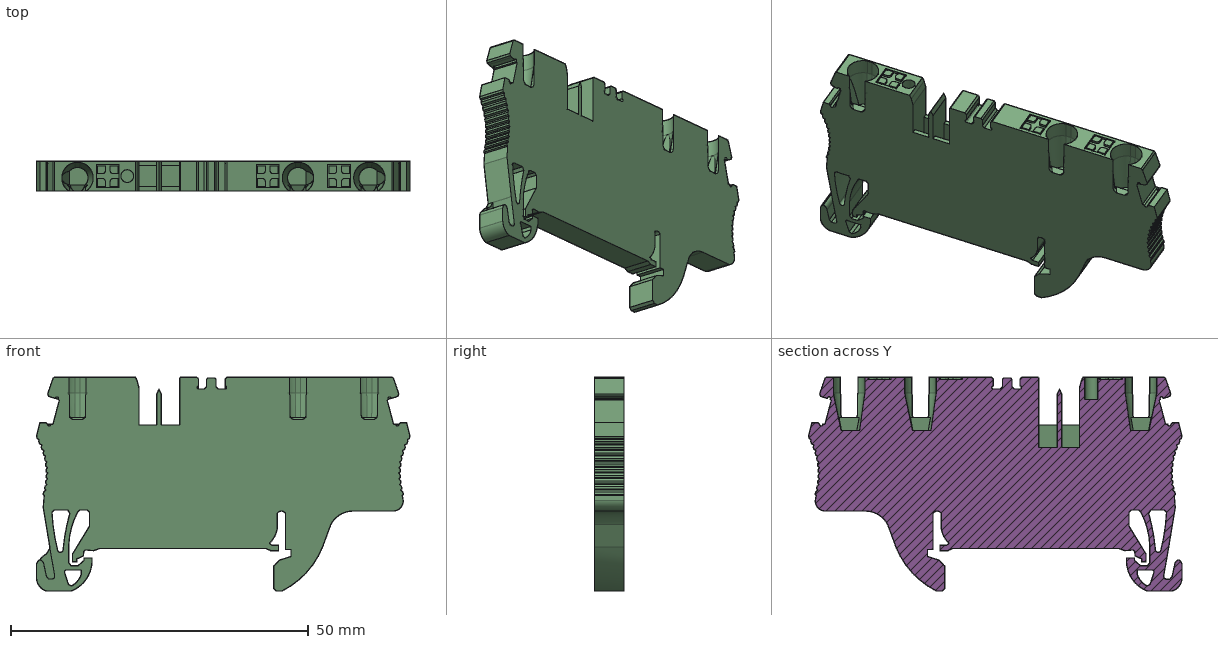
import cadquery as cq
import math

LENGTH = 62.8
THICKNESS = 5.0
HEIGHT = 36.0

SHOULDER_Z = 13.45
RAIL_Z = 7.15
CAVITY_TOP_Z = 13.65
BACK_WEB = 1.0

END_TOP_X = 2.75
END_TOP_CHAMFER = 0.25
LEG_BEND_X = 1.1
LEG_BEND_Z = 14.1
LEG_FOOT_X = 2.25
LEG_FOOT_Z = 7.2
RIGHT_CORNER_X = LENGTH - LEG_BEND_X
GRIP_DEEPEST_X = 1.9
GRIP_RADIUS = 11.95
GRIP_CENTRE_Z = 19.8
GRIP_TOP_Z = 25.5
TOOTH_PITCH = 0.95
TOOTH_COUNT = 10
TOOTH_DEPTH = 0.25
TOOTH_CREST_TOP = 0.4 * TOOTH_PITCH
TOOTH_CREST_BOTTOM = 0.8 * TOOTH_PITCH
END_CORNER_RADIUS = 1.75

LEG_SLOPE = (LEG_FOOT_X - LEG_BEND_X) / (LEG_BEND_Z - LEG_FOOT_Z)
LEG_TOP = (LEG_BEND_X + LEG_SLOPE * (LEG_BEND_Z - SHOULDER_Z), SHOULDER_Z)

RELIEF_RADIUS = 0.25
RELIEF_WEB = 0.4
RELIEF_DEPTH = THICKNESS - RELIEF_WEB
END_RELIEFS = [(3.45, 32.4), (2.15, 28.0)]

SHAFT_LEFT_X = 17.3
SHAFT_RIGHT_X = 24.05
SHAFT_FLOOR_Z = 27.95
SHAFT_LEAD_IN_Z = 34.1
SHAFT_LEAD_IN = 0.3
SHAFT_RIGHT_CHAMFER = 0.2
BLADE_X = 20.6
BLADE_WIDTH = 0.8
BLADE_TIP_Z = 34.0
BLADE_SHOULDER_Z = 33.1
SHAFT_POCKET_FRONT = 0.75
SHAFT_POCKET_BACK = 4.3
SHAFT_POCKET_DEPTH = 3.8

NOTCH_LEFT_X = 27.25
NOTCH_RIGHT_X = 31.7
NOTCH_FLOOR_Z = 34.0
NOTCH_EDGE = 0.3
POST_WIDTH = 1.65
POST_X = 29.4
POST_TOP_Z = 35.9
POST_CHAMFER = 0.25
POST_FLARE = 0.4

CLAMPS = [(6.9, 1), (44.0, -1), (56.0, -1)]
RELEASE_RADIUS = 2.65
RELEASE_Y = 2.2
RELEASE_STRAIGHT_Z = 33.3
RELEASE_FLOOR_Z = 27.0
RELEASE_FLOOR_RADIUS = 1.75
RELEASE_BACK_FLAT = 0.04
FLAT_FLOOR_OFFSET = 1.3
FRONT_WALL = 1.0
WINDOW_WIDTH = 2.75
WINDOW_FLOOR_Z = 28.85
WINDOW_CORNER = 0.9
WINDOW_SILL_RISE = 0.4
ENTRY_OFFSET = 5.1
ENTRY_SIZE = 3.85
ENTRY_DEPTH = 0.4
PAD_SIZE = 1.3
PAD_GAP = 0.2
PAD_CORNER = 0.5

TEST_X = 15.25
TEST_DIAMETER = 2.15
TEST_DEPTH = 3.8


def front_sketch():
    """Empty XZ sketch on the front face."""
    return cq.Workplane("XZ")


def plate(sketch, depth=THICKNESS):
    """Extrude a sketch from the front face toward the back."""
    return sketch.extrude(-depth)


def box(x0, x1, y0, y1, z0, z1):
    return cq.Workplane("XY", origin=(x0, y0, z0)).box(x1 - x0, y1 - y0, z1 - z0, centered=False)


def grip_point(z, lift):
    """Point of the concave finger grip; lift moves it outward."""
    sag = GRIP_RADIUS - math.sqrt(GRIP_RADIUS**2 - (z - GRIP_CENTRE_Z) ** 2)
    return (GRIP_DEEPEST_X - sag - lift, z)


def end_points():
    """Left end of the housing from the top edge down to the last grip groove."""
    points = [
        (END_TOP_X + END_TOP_CHAMFER, HEIGHT),
        (END_TOP_X, HEIGHT - END_TOP_CHAMFER),
        (1.9, 33.2),
        (2.0, 32.8),
        (2.4, 32.6),
        (3.6, 32.3),
        (3.85, 32.1),
        (END_TOP_X, 28.1),
        (1.8, 28.1),
        (1.65, 28.35),
        (0.55, 28.35),
        (0.0, 26.0),
        (0.1, 25.6),
    ]
    for tooth in range(TOOTH_COUNT):
        groove_z = GRIP_TOP_Z - tooth * TOOTH_PITCH
        points.append(grip_point(groove_z, 0))
        points.append(grip_point(groove_z - TOOTH_CREST_TOP, TOOTH_DEPTH))
        points.append(grip_point(groove_z - TOOTH_CREST_BOTTOM, TOOTH_DEPTH))
    points.append(grip_point(GRIP_TOP_Z - TOOTH_COUNT * TOOTH_PITCH, 0))
    return points


def upper_body():
    left = end_points()
    right = [(LENGTH - x, z) for x, z in left]
    diagonal = END_CORNER_RADIUS * (1 - math.sqrt(0.5))
    outline = (
        front_sketch()
        .polyline([LEG_TOP, (LEG_BEND_X, LEG_BEND_Z)] + left[::-1] + right)
        .lineTo(RIGHT_CORNER_X, SHOULDER_Z + END_CORNER_RADIUS)
        .threePointArc(
            (RIGHT_CORNER_X - diagonal, SHOULDER_Z + diagonal),
            (RIGHT_CORNER_X - END_CORNER_RADIUS, SHOULDER_Z),
        )
        .close()
    )
    return plate(outline)


def lower_body():
    """Spring leg and foot on the left, rail seat, fixed hook on the right."""
    outline = (
        front_sketch()
        .moveTo(*LEG_TOP)
        .lineTo(LEG_FOOT_X, LEG_FOOT_Z)
        .lineTo(1.7, 6.3)
        .threePointArc((1.0, 5.8), (0.55, 5.3))
        .threePointArc((0.2, 4.95), (0, 4.45))
        .lineTo(0, 2.1)
        .threePointArc((0.5, 0.8), (1.7, 0))
        .lineTo(5.85, 0)
        .threePointArc((8.1, 1.65), (9.35, 5.6))
        .lineTo(8.2, 5.6)
        .lineTo(8.2, 6.9)
        .lineTo(9.6, 6.8)
        .lineTo(10.7, RAIL_Z)
        .lineTo(38.6, RAIL_Z)
        .lineTo(39.4, 6.8)
        .lineTo(40.7, 6.8)
        .lineTo(40.7, 7.0)
        .lineTo(42.8, 7.0)
        .lineTo(42.8, 5.85)
        .lineTo(40.85, 5.2)
        .lineTo(39.9, 4.2)
        .lineTo(39.9, 0.45)
        .lineTo(40.3, 0)
        .lineTo(41.3, 0)
        .threePointArc((45.55, 3.25), (48.1, 7.4))
        .lineTo(49.5, 11.2)
        .threePointArc((51.0, 12.8), (53.2, SHOULDER_Z))
        .close()
    )
    return plate(outline)


def spring_slot():
    """Opening between the spring leg and the rail seat."""
    outline = (
        front_sketch()
        .moveTo(5.45, 4.8)
        .lineTo(5.45, 7.85)
        .threePointArc((5.95, 10.85), (7.0, 13.3))
        .lineTo(7.3, CAVITY_TOP_Z)
        .lineTo(8.55, CAVITY_TOP_Z)
        .lineTo(8.9, 13.25)
        .lineTo(8.9, 10.9)
        .lineTo(6.0, 6.2)
        .lineTo(6.0, 4.9)
        .lineTo(6.8, 4.9)
        .lineTo(6.8, 5.4)
        .lineTo(7.9, 5.9)
        .lineTo(8.0, 6.65)
        .lineTo(8.2, 6.9)
        .lineTo(8.2, 5.6)
        .lineTo(8.0, 5.6)
        .lineTo(8.0, 5.15)
        .lineTo(7.0, 4.3)
        .lineTo(5.85, 4.3)
        .close()
    )
    return plate(outline)


def leg_opening():
    """Tapered opening inside the spring leg."""
    outline = (
        front_sketch()
        .moveTo(3.0, CAVITY_TOP_Z)
        .lineTo(5.3, CAVITY_TOP_Z)
        .lineTo(5.6, 13.05)
        .threePointArc((4.9, 10.1), (4.45, 6.9))
        .threePointArc((4.0, 6.55), (3.6, 6.9))
        .threePointArc((2.95, 10.05), (2.65, 13.25))
        .close()
    )
    return plate(outline)


def foot_opening():
    """Triangular opening in the left foot."""
    outline = (
        front_sketch()
        .moveTo(4.9, 3.5)
        .lineTo(7.55, 3.5)
        .lineTo(7.55, 2.9)
        .threePointArc((6.85, 1.65), (5.9, 0.9))
        .lineTo(5.4, 1.1)
        .lineTo(4.7, 3.25)
        .close()
    )
    return plate(outline)


def foot_notch():
    """Release notch between the left foot and its leg, closed at the back."""
    outline = (
        front_sketch()
        .moveTo(LEG_FOOT_X, LEG_FOOT_Z)
        .lineTo(3.1, 2.6)
        .threePointArc((2.9, 2.15), (2.5, 2.0))
        .lineTo(2.1, 2.0)
        .lineTo(1.7, 2.45)
        .lineTo(1.25, 4.45)
        .threePointArc((1.0, 5.0), (0.55, 5.3))
        .lineTo(0.55, LEG_FOOT_Z)
        .close()
    )
    return plate(outline, THICKNESS - BACK_WEB)


def hook_slot():
    """Slot between the rail seat and the fixed hook, with a barbed side."""
    outline = (
        front_sketch()
        .moveTo(41.85, 6.9)
        .lineTo(41.85, 13.05)
        .threePointArc((41.15, SHOULDER_Z), (40.5, 13.05))
        .lineTo(40.5, 10.6)
        .threePointArc((40.1, 9.25), (39.2, 8.05))
        .lineTo(39.6, 7.7)
        .lineTo(40.7, 7.7)
        .lineTo(40.7, 6.9)
        .close()
    )
    return plate(outline)


def corner_reliefs():
    right = [(LENGTH - x, z) for x, z in END_RELIEFS]
    notch_z = NOTCH_FLOOR_Z + RELIEF_RADIUS
    notch = [(NOTCH_LEFT_X, notch_z), (NOTCH_RIGHT_X, notch_z)]
    centres = END_RELIEFS + right + notch
    return plate(front_sketch().pushPoints(centres).circle(RELIEF_RADIUS), RELIEF_DEPTH)


def bridge_shaft():
    shaft = plate(
        front_sketch().polyline([
            (SHAFT_LEFT_X, SHAFT_FLOOR_Z),
            (SHAFT_LEFT_X, SHAFT_LEAD_IN_Z),
            (SHAFT_LEFT_X - SHAFT_LEAD_IN, HEIGHT - 2 * SHAFT_LEAD_IN),
            (SHAFT_LEFT_X - 2 * SHAFT_LEAD_IN, HEIGHT),
            (SHAFT_RIGHT_X + SHAFT_RIGHT_CHAMFER, HEIGHT),
            (SHAFT_RIGHT_X, HEIGHT - SHAFT_RIGHT_CHAMFER),
            (SHAFT_RIGHT_X, SHAFT_FLOOR_Z),
        ]).close()
    )
    pocket = box(
        SHAFT_LEFT_X, SHAFT_RIGHT_X,
        SHAFT_POCKET_FRONT, SHAFT_POCKET_BACK,
        SHAFT_FLOOR_Z - SHAFT_POCKET_DEPTH, SHAFT_FLOOR_Z,
    )
    half = BLADE_WIDTH / 2
    blade = plate(
        front_sketch().polyline([
            (BLADE_X - half, SHAFT_FLOOR_Z - SHAFT_POCKET_DEPTH),
            (BLADE_X - half, BLADE_SHOULDER_Z),
            (BLADE_X, BLADE_TIP_Z),
            (BLADE_X + half, BLADE_SHOULDER_Z),
            (BLADE_X + half, SHAFT_FLOOR_Z - SHAFT_POCKET_DEPTH),
        ]).close()
    )
    return shaft.union(pocket).cut(blade)


def marker_notch():
    notch = plate(
        front_sketch().polyline([
            (NOTCH_LEFT_X, NOTCH_FLOOR_Z),
            (NOTCH_LEFT_X, HEIGHT - NOTCH_EDGE),
            (NOTCH_LEFT_X - NOTCH_EDGE, HEIGHT),
            (NOTCH_RIGHT_X + NOTCH_EDGE, HEIGHT),
            (NOTCH_RIGHT_X, HEIGHT - NOTCH_EDGE),
            (NOTCH_RIGHT_X, NOTCH_FLOOR_Z),
        ]).close()
    )
    half = POST_WIDTH / 2
    right_side = [
        (half - POST_CHAMFER, POST_TOP_Z),
        (half, POST_TOP_Z - POST_CHAMFER),
        (half, NOTCH_FLOOR_Z + POST_FLARE),
        (half + POST_FLARE, NOTCH_FLOOR_Z),
    ]
    outline = [(POST_X + x, z) for x, z in right_side]
    outline += [(POST_X - x, z) for x, z in right_side[::-1]]
    post = plate(front_sketch().polyline(outline).close())
    return notch.cut(post)


def release_shaft(x, side):
    """Round shaft that narrows downward, with one sloping flat and a window in the front face."""
    straight = (
        cq.Workplane("XY", origin=(x, RELEASE_Y, RELEASE_STRAIGHT_Z))
        .circle(RELEASE_RADIUS)
        .extrude(HEIGHT - RELEASE_STRAIGHT_Z)
    )
    back_y = RELEASE_Y - RELEASE_BACK_FLAT
    back_flat = (
        cq.Workplane("YZ", origin=(x - RELEASE_RADIUS, 0, 0))
        .polyline([
            (back_y + RELEASE_FLOOR_RADIUS, RELEASE_FLOOR_Z),
            (back_y + RELEASE_RADIUS, RELEASE_STRAIGHT_Z),
            (back_y + RELEASE_RADIUS, HEIGHT),
            (THICKNESS, HEIGHT),
            (THICKNESS, RELEASE_FLOOR_Z),
        ])
        .close()
        .extrude(2 * RELEASE_RADIUS)
    )
    cone = (
        cq.Workplane("XY", origin=(x, RELEASE_Y, RELEASE_FLOOR_Z))
        .circle(RELEASE_FLOOR_RADIUS)
        .workplane(offset=RELEASE_STRAIGHT_Z - RELEASE_FLOOR_Z)
        .circle(RELEASE_RADIUS)
        .loft()
    )
    flat = plate(
        front_sketch().polyline([
            (x - side * FLAT_FLOOR_OFFSET, RELEASE_FLOOR_Z),
            (x - side * RELEASE_RADIUS, RELEASE_STRAIGHT_Z),
            (x - side * RELEASE_RADIUS, RELEASE_FLOOR_Z),
        ]).close()
    )
    window = box(
        x - WINDOW_WIDTH / 2, x + WINDOW_WIDTH / 2,
        0, FRONT_WALL,
        WINDOW_FLOOR_Z, HEIGHT,
    ).edges("|Y and <Z").fillet(WINDOW_CORNER)
    sill = (
        cq.Workplane("YZ", origin=(x - WINDOW_WIDTH / 2, 0, 0))
        .polyline([
            (0, WINDOW_FLOOR_Z),
            (FRONT_WALL, WINDOW_FLOOR_Z + WINDOW_SILL_RISE),
            (FRONT_WALL, WINDOW_FLOOR_Z),
        ])
        .close()
        .extrude(WINDOW_WIDTH)
    )
    front_wall = box(
        x - RELEASE_RADIUS, x + RELEASE_RADIUS,
        0, FRONT_WALL,
        RELEASE_FLOOR_Z, WINDOW_FLOOR_Z + WINDOW_SILL_RISE,
    )
    return straight.union(cone).cut(flat).cut(back_flat).cut(front_wall).union(window.cut(sill))


def wire_entry(x):
    """Shallow square recess with four raised corner pads, leaving a cross between them."""
    centre_y = THICKNESS / 2
    recess = cq.Workplane("XY", origin=(x, centre_y, HEIGHT - ENTRY_DEPTH)).rect(ENTRY_SIZE, ENTRY_SIZE)
    recess = recess.extrude(ENTRY_DEPTH)
    spacing = ENTRY_SIZE - 2 * PAD_GAP - PAD_SIZE
    for sx in (-1, 1):
        for sy in (-1, 1):
            inner_edge = ("<X" if sx > 0 else ">X") + " and " + ("<Y" if sy > 0 else ">Y")
            pad = (
                cq.Workplane("XY", origin=(x, centre_y, HEIGHT - ENTRY_DEPTH))
                .center(sx * spacing / 2, sy * spacing / 2)
                .rect(PAD_SIZE, PAD_SIZE)
                .extrude(ENTRY_DEPTH)
                .edges("|Z")
                .edges(inner_edge)
                .fillet(PAD_CORNER)
            )
            recess = recess.cut(pad)
    return recess


def test_socket():
    return (
        cq.Workplane("XY", origin=(TEST_X, THICKNESS / 2, HEIGHT - TEST_DEPTH))
        .circle(TEST_DIAMETER / 2)
        .extrude(TEST_DEPTH)
    )


result = upper_body().union(lower_body())
for opening in (spring_slot(), leg_opening(), foot_opening(), foot_notch(), hook_slot()):
    result = result.cut(opening)
for opening in (corner_reliefs(), bridge_shaft(), marker_notch(), test_socket()):
    result = result.cut(opening)
for shaft_x, entry_side in CLAMPS:
    result = result.cut(release_shaft(shaft_x, entry_side))
    result = result.cut(wire_entry(shaft_x + entry_side * ENTRY_OFFSET))